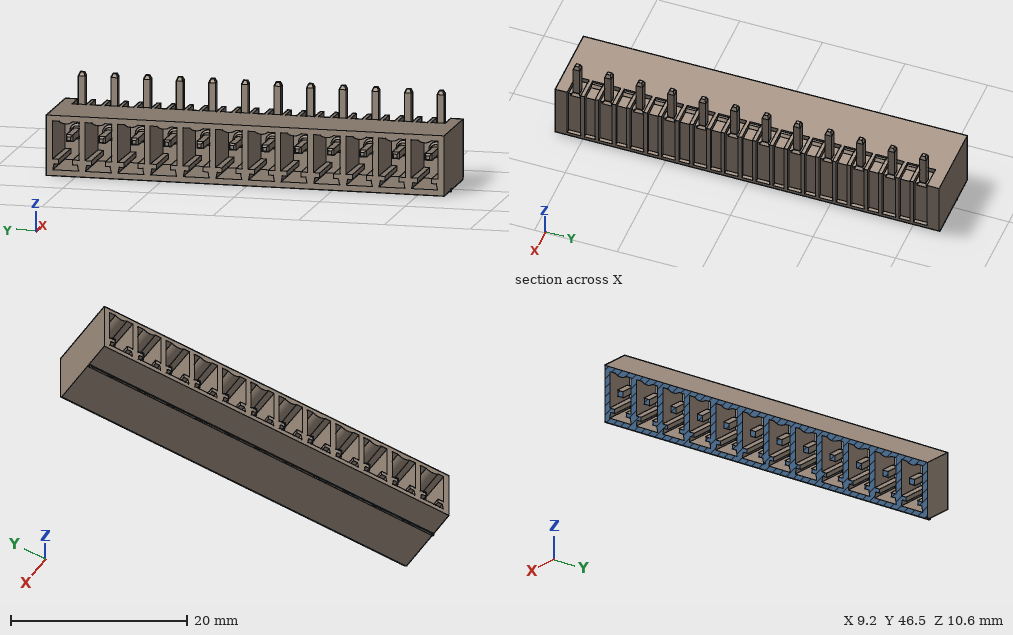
import cadquery as cq
import math


body_depth = 9.2
body_length = 46.47
body_height = 7.02
back_chamfer = 0.3

contact_count = 12
row_span = 41.9
pitch = row_span / (contact_count - 1)
contact_places = [i * pitch - row_span / 2 for i in range(contact_count)]
gap_places = [y + pitch / 2 for y in contact_places[:-1]]

cavity_depth = 5.75
cavity_front_width = 3.1
cavity_back_width = 2.95
cavity_top = body_height - 0.65
cavity_floor = 0.7
foot_floor_width = 3.02
foot_top_width = 2.75
foot_top = cavity_floor + 0.7
ledge_top = cavity_floor + 1.25
ledge_gap = 1.65
key_width = 1.6
key_drop = 0.3

recess_front = 6.45
recess_floor = body_height - 0.55
back_step = 8.75
groove_floor = cavity_floor
slot_width = 1.65
pocket_width = 1.3
pocket_shelf = body_height - 0.25
pocket_shelf_end = recess_front + 0.3
pocket_slope_end = pocket_shelf_end + 0.3
lead_in_start = 8.45
lead_in_drop = 0.3
lead_in_width = 1.15

pin_width = 0.8
pin_tip_width = 0.4
pin_tip_length = 0.4
pin_x = 8.0
pin_z = body_height - 3.0
pin_rise = 3.45
pin_front = 1.5
collar_diameter = 1.8
collar_end_diameter = 1.35
collar_length = 0.33

rib_x = 3.3
rib_width = 0.25
rib_height = 0.165
rib_overhang = 0.05


def box(x0, x1, width, z0, z1):
    """Box between two X and two Z places, centred on Y = 0."""
    return cq.Workplane("XY", origin=(x0, 0, z0)).box(x1 - x0, width, z1 - z0, centered=(False, True, False))


def prism(points, width):
    """Outline of (x, z) points extruded along Y to a width centred on Y = 0."""
    return cq.Workplane("XZ").polyline(points).close().extrude(width / 2, both=True)


def tapered_plan(x0, width0, x1, width1, z0, z1):
    """Block whose width changes evenly from one X place to another."""
    points = [(x0, -width0 / 2), (x1, -width1 / 2), (x1, width1 / 2), (x0, width0 / 2)]
    return cq.Workplane("XY", origin=(0, 0, z0)).polyline(points).close().extrude(z1 - z0)


def along_row(shape, places):
    """Copies of a shape at several Y places."""
    copies = [shape.val().translate(cq.Vector(0, y, 0)) for y in places]
    return cq.Workplane(obj=cq.Compound.makeCompound(copies))


def make_housing():
    """Plain block with a chamfered lower back edge and the fine rib below it."""
    block = box(0, body_depth, body_length, 0, body_height).edges(">X and <Z").chamfer(back_chamfer)
    rib_front = rib_x - rib_width / 2
    rib_back = rib_x + rib_width / 2
    rib = box(rib_front, rib_back, body_length + rib_overhang, -rib_height, rib_height)
    return block.union(rib.translate((0, -rib_overhang / 2, 0)))


def make_cavity():
    """Tapered chamber over a narrower opening and a flared foot, with a rounded key along its roof."""
    chamber = tapered_plan(0, cavity_front_width, cavity_depth, cavity_back_width, ledge_top, cavity_top)
    opening = box(0, cavity_depth, ledge_gap, foot_top, ledge_top)
    foot = (
        cq.Workplane("YZ")
        .polyline([
            (-foot_floor_width / 2, cavity_floor),
            (foot_floor_width / 2, cavity_floor),
            (foot_top_width / 2, foot_top),
            (-foot_top_width / 2, foot_top),
        ])
        .close()
        .extrude(cavity_depth)
    )
    key = (
        cq.Workplane("YZ")
        .moveTo(-key_width / 2, cavity_top)
        .threePointArc((0, cavity_top - key_drop), (key_width / 2, cavity_top))
        .close()
        .extrude(cavity_depth)
    )
    return chamber.union(opening).union(foot).cut(key)


def make_slot():
    """Stepped opening around a solder pin, with a sloped lead-in behind the pin."""
    opening = box(recess_front, body_depth, slot_width, recess_floor, body_height)
    groove = box(back_step, body_depth, slot_width, groove_floor, body_height)
    lead_in_floor = recess_floor - lead_in_drop
    plan = tapered_plan(lead_in_start, pin_width, back_step, lead_in_width, lead_in_floor, recess_floor)
    slope = prism(
        [(lead_in_start, recess_floor), (back_step, recess_floor), (back_step, lead_in_floor)], lead_in_width
    )
    return opening.union(groove).union(plan.intersect(slope))


def make_pocket():
    """Stepped opening between two solder pins, with a sloped step near its front."""
    outline = [
        (recess_front, body_height),
        (recess_front, pocket_shelf),
        (pocket_shelf_end, pocket_shelf),
        (pocket_slope_end, recess_floor),
        (back_step, recess_floor),
        (back_step, groove_floor),
        (body_depth, groove_floor),
        (body_depth, body_height),
    ]
    return prism(outline, pocket_width)


def make_leg(length):
    """Square leg standing along +Z from the origin, tapered at its free end."""
    shank_length = length - pin_tip_length
    taper = math.degrees(math.atan((pin_width - pin_tip_width) / 2 / pin_tip_length))
    shank = cq.Workplane("XY").rect(pin_width, pin_width).extrude(shank_length)
    tip = (
        cq.Workplane("XY", origin=(0, 0, shank_length))
        .rect(pin_width, pin_width)
        .extrude(pin_tip_length, taper=taper)
    )
    return shank.union(tip)


def make_contact():
    """Right-angle pin with a conical collar where it enters the cavity."""
    elbow_bottom = pin_z - pin_width / 2
    elbow_back = pin_x + pin_width / 2
    solder_leg = make_leg(body_height + pin_rise - elbow_bottom).translate((pin_x, 0, elbow_bottom))
    mating_leg = make_leg(elbow_back - pin_front).rotate((0, 0, 0), (0, 1, 0), -90)
    mating_leg = mating_leg.translate((elbow_back, 0, pin_z))
    collar = (
        cq.Workplane("YZ", origin=(cavity_depth, 0, pin_z))
        .circle(collar_diameter / 2)
        .workplane(offset=-collar_length)
        .circle(collar_end_diameter / 2)
        .loft()
    )
    return solder_leg.union(mating_leg).union(collar)


housing = (
    make_housing()
    .cut(along_row(make_cavity(), contact_places))
    .cut(along_row(make_slot(), contact_places))
    .cut(along_row(make_pocket(), gap_places))
)
result = housing.union(along_row(make_contact(), contact_places)).solids()